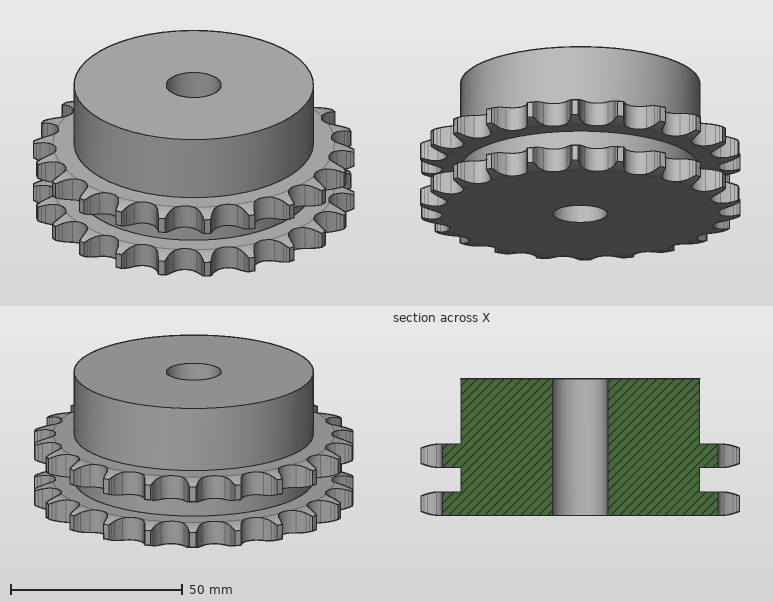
import cadquery as cq
import math


TOOTH_COUNT = 22
TIP_RADIUS = 46.9
ROOT_RADIUS = 40.3
SEAT_RADIUS = 4.3
SEAT_HALF_ANGLE = 52.3
WORKING_RADIUS = 11.1
WORKING_TURN = 15.5
STRAIGHT_LENGTH = 1.1
TOPPING_RADIUS = 7.0
TOPPING_TURN = 12.0

ROW_WIDTH = 6.9
ROW_SPACING = 14.0
ROW_COUNT = 2
RELIEF_START_RADIUS = 41.1
RELIEF_DEPTH = 1.2

HUB_DIAMETER = 70.0
BORE_DIAMETER = 16.0
HEIGHT = 40.0

TOOTH_ANGLE = 360.0 / TOOTH_COUNT
CUT_OVERRUN = 0.9


def make_row_blank():
    """Disc whose rim narrows towards the tip along an arc tangent to each flat face."""
    relief_length = TIP_RADIUS - RELIEF_START_RADIUS
    lower_tip = (TIP_RADIUS, RELIEF_DEPTH)
    upper_tip = (TIP_RADIUS, ROW_WIDTH - RELIEF_DEPTH)
    relief_radius = (relief_length**2 + RELIEF_DEPTH**2) / (2 * RELIEF_DEPTH)
    return (
        cq.Workplane("XZ")
        .lineTo(RELIEF_START_RADIUS, 0)
        .radiusArc(lower_tip, -relief_radius)
        .lineTo(*upper_tip)
        .radiusArc((RELIEF_START_RADIUS, ROW_WIDTH), -relief_radius)
        .lineTo(0, ROW_WIDTH)
        .close()
        .revolve(360, (0, 0, 0), (0, 1, 0))
    )


def step(point, length, heading):
    """Point reached from the given one along a heading in degrees from the X axis."""
    angle = math.radians(heading)
    return point[0] + length * math.cos(angle), point[1] + length * math.sin(angle)


def mirrored(point):
    """Matching point on the other side of the gap centre line."""
    return point[0], -point[1]


def make_gap_cutter():
    """Tooth gap centred on +X: a roller seat, then working curve, flat and topping curve."""
    seat_centre = (ROOT_RADIUS + SEAT_RADIUS, 0)
    seat_end = step(seat_centre, SEAT_RADIUS, 180 - SEAT_HALF_ANGLE)

    seat_heading = 90 - SEAT_HALF_ANGLE
    working_chord = 2 * WORKING_RADIUS * math.sin(math.radians(WORKING_TURN / 2))
    working_end = step(seat_end, working_chord, seat_heading - WORKING_TURN / 2)

    flat_heading = seat_heading - WORKING_TURN
    flat_end = step(working_end, STRAIGHT_LENGTH, flat_heading)

    topping_chord = 2 * TOPPING_RADIUS * math.sin(math.radians(TOPPING_TURN / 2))
    topping_end = step(flat_end, topping_chord, flat_heading + TOPPING_TURN / 2)
    outer_corner = (TIP_RADIUS + CUT_OVERRUN, topping_end[1])

    return (
        cq.Workplane("XY", origin=(0, 0, -CUT_OVERRUN))
        .moveTo(*mirrored(seat_end))
        .threePointArc((ROOT_RADIUS, 0), seat_end)
        .radiusArc(working_end, WORKING_RADIUS)
        .lineTo(*flat_end)
        .radiusArc(topping_end, -TOPPING_RADIUS)
        .lineTo(*outer_corner)
        .lineTo(*mirrored(outer_corner))
        .lineTo(*mirrored(topping_end))
        .radiusArc(mirrored(flat_end), -TOPPING_RADIUS)
        .lineTo(*mirrored(working_end))
        .radiusArc(mirrored(seat_end), WORKING_RADIUS)
        .close()
        .extrude(ROW_WIDTH + 2 * CUT_OVERRUN)
    )


def make_row():
    """One toothed row with tooth centres on the X axis."""
    row = make_row_blank()
    cutter = make_gap_cutter()
    for gap in range(TOOTH_COUNT):
        row = row.cut(cutter.rotate((0, 0, 0), (0, 0, 1), (gap + 0.5) * TOOTH_ANGLE))
    return row


body = cq.Workplane("XY").circle(HUB_DIAMETER / 2).extrude(HEIGHT)
toothed_row = make_row()
for index in range(ROW_COUNT):
    body = body.union(toothed_row.translate((0, 0, index * ROW_SPACING)))

bore = cq.Workplane("XY").circle(BORE_DIAMETER / 2).extrude(HEIGHT)
result = body.cut(bore)